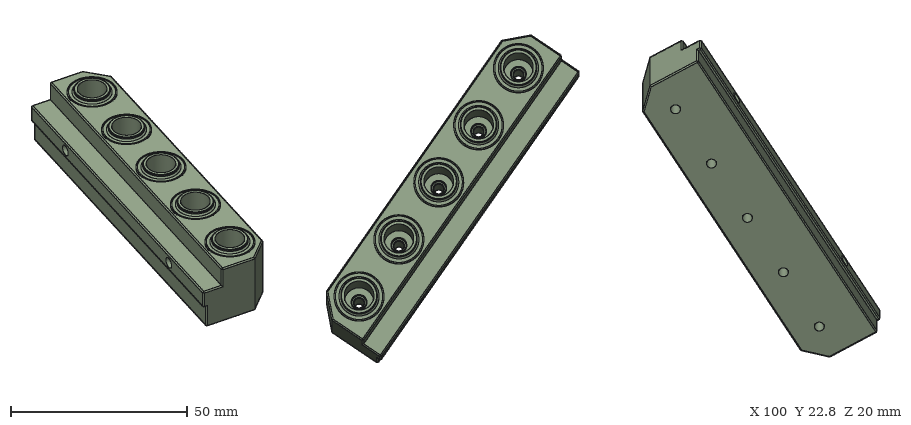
import cadquery as cq
import math

TOLERANCE = 0.01

LENGTH = 100.0
DEPTH = 22.8
BLOCK_HEIGHT = 18.9
STEP_DEPTH = 6.1
STEP_Z = 12.8
NOSE_BOTTOM_Z = 7.2
NOSE_OVERHANG = 1.0
CORNER_CUT = 6.0
EDGE_CHAMFER = 0.4

BUSHING_COUNT = 5
BUSHING_SPACING = 20.0
BUSHING_Y = 14.3
BUSHING_DIAMETER = 14.2
BUSHING_BEVEL = 0.4
TOTAL_HEIGHT = 20.0
COLLAR_BASE_DIAMETER = 11.4
COLLAR_DIAMETER = 10.4
COLLAR_BEVEL = 0.2
COLLAR_ROOT = 1.0
BORE_DIAMETER = 8.4
BORE_DEPTH = 10.0
VENT_DIAMETER = 2.8
VENT_MOUTH_DIAMETER = 3.2
SEAT_DIAMETER = 4.1
SEAT_DEPTH = 1.0
SEAT_MOUTH_DIAMETER = 4.5

MOUNT_DIAMETER = 3.2
MOUNT_INSET = 20.0
MOUNT_Z = 10.0

lower_wall_y = NOSE_OVERHANG
profile_points = [
    (lower_wall_y, 0),
    (DEPTH, 0),
    (DEPTH, BLOCK_HEIGHT),
    (STEP_DEPTH, BLOCK_HEIGHT),
    (STEP_DEPTH, STEP_Z),
    (0, STEP_Z),
    (0, NOSE_BOTTOM_Z),
    (lower_wall_y, NOSE_BOTTOM_Z),
]
inner_corners = [(STEP_DEPTH, STEP_Z), (lower_wall_y, NOSE_BOTTOM_Z)]


def is_outer_edge(edge):
    """True for the convex edges, leaving out the uprights of the rear corner cuts."""
    center = edge.Center()
    box = edge.BoundingBox()
    if box.xlen > LENGTH / 2:
        return all(math.hypot(center.y - y, center.z - z) > TOLERANCE for y, z in inner_corners)
    is_upright = box.zlen > TOLERANCE
    return not (is_upright and center.y > DEPTH - CORNER_CUT - TOLERANCE)


def make_bar():
    bar = cq.Workplane("YZ").polyline(profile_points).close().extrude(LENGTH)
    bar = bar.edges("|Z and >Y").chamfer(CORNER_CUT)
    outer_edges = [edge for edge in bar.edges().vals() if is_outer_edge(edge)]
    return bar.newObject(outer_edges).chamfer(EDGE_CHAMFER)


def revolve_section(points):
    """Spin a closed (radius, z) section around the Z axis."""
    return cq.Workplane("XZ").polyline(points).close().revolve(360, (0, 0, 0), (0, 1, 0))


def make_collar():
    base_radius = COLLAR_BASE_DIAMETER / 2
    radius = COLLAR_DIAMETER / 2
    return revolve_section(
        [
            (0, BLOCK_HEIGHT - COLLAR_ROOT),
            (base_radius, BLOCK_HEIGHT - COLLAR_ROOT),
            (base_radius, BLOCK_HEIGHT),
            (radius, BLOCK_HEIGHT + base_radius - radius),
            (radius, TOTAL_HEIGHT - COLLAR_BEVEL),
            (radius - COLLAR_BEVEL, TOTAL_HEIGHT),
            (0, TOTAL_HEIGHT),
        ]
    )


def make_bevel_groove():
    """Ring cut left by the bevel on the rim of a flush bushing."""
    radius = BUSHING_DIAMETER / 2
    return revolve_section(
        [
            (radius, BLOCK_HEIGHT),
            (radius, BLOCK_HEIGHT - BUSHING_BEVEL),
            (radius - BUSHING_BEVEL, BLOCK_HEIGHT),
        ]
    )


def make_bushing_bore():
    floor_z = TOTAL_HEIGHT - BORE_DEPTH
    seat_z = floor_z - SEAT_DEPTH
    vent_mouth_depth = (VENT_MOUTH_DIAMETER - VENT_DIAMETER) / 2
    seat_mouth_depth = (SEAT_MOUTH_DIAMETER - SEAT_DIAMETER) / 2
    return revolve_section(
        [
            (0, 0),
            (VENT_DIAMETER / 2, 0),
            (VENT_DIAMETER / 2, seat_z - vent_mouth_depth),
            (VENT_MOUTH_DIAMETER / 2, seat_z),
            (SEAT_DIAMETER / 2, seat_z),
            (SEAT_DIAMETER / 2, floor_z - seat_mouth_depth),
            (SEAT_MOUTH_DIAMETER / 2, floor_z),
            (BORE_DIAMETER / 2, floor_z),
            (BORE_DIAMETER / 2, TOTAL_HEIGHT),
            (0, TOTAL_HEIGHT),
        ]
    )


result = make_bar()

first_bushing_x = (LENGTH - (BUSHING_COUNT - 1) * BUSHING_SPACING) / 2
for index in range(BUSHING_COUNT):
    place = (first_bushing_x + index * BUSHING_SPACING, BUSHING_Y, 0)
    result = result.union(make_collar().translate(place))
    result = result.cut(make_bevel_groove().translate(place))
    result = result.cut(make_bushing_bore().translate(place))

for x in (MOUNT_INSET, LENGTH - MOUNT_INSET):
    hole = cq.Workplane("XZ").center(x, MOUNT_Z).circle(MOUNT_DIAMETER / 2).extrude(-DEPTH)
    result = result.cut(hole)